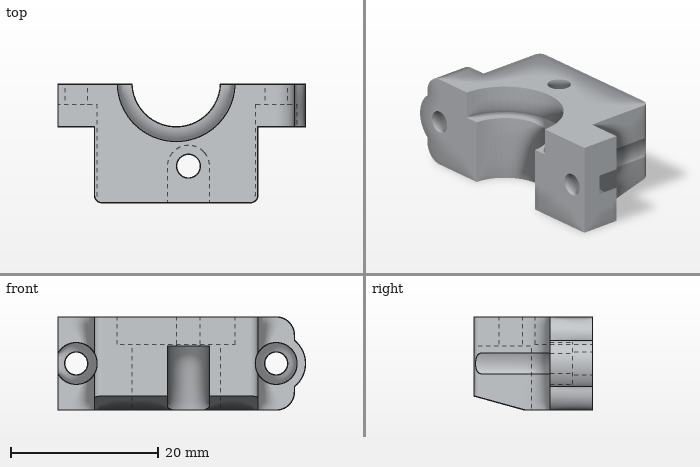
import cadquery as cq

height = 12.7
total_length = 33.7
total_depth = 16.15
arm_span = 32.17
arm_depth = 5.8
body_width = 22.25
body_corner_radius = 1.0
arm_corner_radius = 2.5

screw_inset = 2.5
screw_hole_diameter = 3.1
head_diameter = 5.7
screw_floor_depth = 2.75

bore_radius = 6.0
upper_bore_radius = 8.02
bore_center_y = 0.2
upper_bore_depth = 3.77

pin_hole_diameter = 3.2
pin_x = 17.75
pin_y = -11.15
slot_width = 5.7
slot_height = 8.75

bevel_start_y = -9.15
bevel_height = 1.92

center_x = arm_span / 2
mid_z = height / 2
left_screw_x = screw_inset
right_screw_x = arm_span - screw_inset
boss_radius = total_length - right_screw_x


def cylinder_along_y(x, diameter, start_y, end_y):
    """Cylinder at mid height running forward from start_y to end_y."""
    plane = cq.Workplane("XZ", origin=(x, start_y, mid_z))
    return plane.circle(diameter / 2).extrude(start_y - end_y)


def make_arms():
    """Bar across the back with rounded right corners and an end boss."""
    bar = cq.Workplane("XY").box(arm_span, arm_depth, height, centered=False)
    bar = bar.translate((0, -arm_depth, 0))
    bar = bar.edges("|Y and >X").fillet(arm_corner_radius)
    return bar.union(cylinder_along_y(right_screw_x, 2 * boss_radius, 0, -arm_depth))


def make_body():
    """Central block with rounded front corners and a bevelled underside."""
    block = cq.Workplane("XY").box(body_width, total_depth, height, centered=False)
    block = block.translate((center_x - body_width / 2, -total_depth, 0))
    block = block.edges("|Z and <Y").fillet(body_corner_radius)
    bevel = (
        cq.Workplane("YZ")
        .moveTo(bevel_start_y, 0)
        .lineTo(-total_depth, bevel_height)
        .lineTo(-total_depth, 0)
        .close()
        .extrude(total_length)
    )
    return block.cut(bevel)


def make_bore():
    """Stepped vertical half bore, wider at the top."""
    bore = cq.Workplane("XY").center(center_x, bore_center_y).circle(bore_radius).extrude(height)
    upper = (
        cq.Workplane("XY", origin=(center_x, bore_center_y, height - upper_bore_depth))
        .circle(upper_bore_radius)
        .extrude(upper_bore_depth)
    )
    return bore.union(upper)


def make_pin_hole_and_slot():
    """Vertical through hole over a round-ended slot open at the front and base."""
    hole = cq.Workplane("XY").center(pin_x, pin_y).circle(pin_hole_diameter / 2).extrude(height)
    slot_end = cq.Workplane("XY").center(pin_x, pin_y).circle(slot_width / 2).extrude(slot_height)
    slot_length = total_depth + pin_y
    slot = (
        cq.Workplane("XY")
        .center(pin_x, pin_y - slot_length / 2)
        .rect(slot_width, slot_length)
        .extrude(slot_height)
    )
    return hole.union(slot_end).union(slot)


result = make_arms().union(make_body())
result = result.cut(make_bore()).cut(make_pin_hole_and_slot())

for screw_x in (left_screw_x, right_screw_x):
    result = result.cut(cylinder_along_y(screw_x, screw_hole_diameter, 0, -arm_depth))
    result = result.cut(cylinder_along_y(screw_x, head_diameter, -screw_floor_depth, -total_depth))